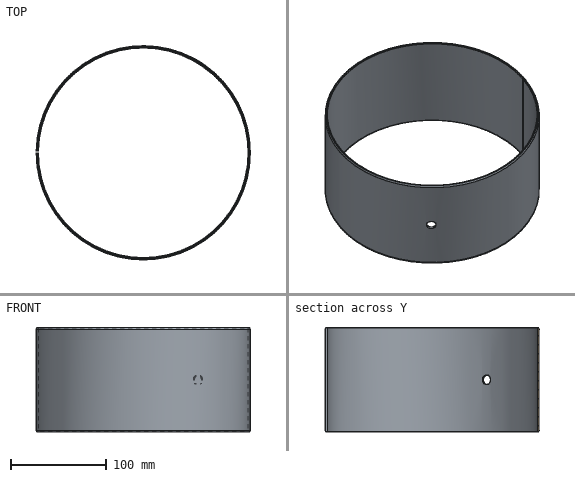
import cadquery as cq
import math

outer_diameter = 225.0
height = 110.0
wall = 2.5
outer_radius = outer_diameter / 2

outer_bevel_height = 2.0
inner_bevel_height = 0.7
bevel_depth = 1.0

split_width = 1.8

hole_diameter = 10.0
hole_angle = 58.9


def make_ring():
    """Revolve the beveled wall section about the Z axis."""
    inner_radius = outer_radius - wall
    rim_outer_radius = outer_radius - bevel_depth
    rim_inner_radius = inner_radius + bevel_depth
    section = (
        cq.Workplane("XZ")
        .moveTo(rim_inner_radius, 0)
        .lineTo(rim_outer_radius, 0)
        .lineTo(outer_radius, outer_bevel_height)
        .lineTo(outer_radius, height - outer_bevel_height)
        .lineTo(rim_outer_radius, height)
        .lineTo(rim_inner_radius, height)
        .lineTo(inner_radius, height - inner_bevel_height)
        .lineTo(inner_radius, inner_bevel_height)
        .close()
    )
    return section.revolve(360, (0, 0, 0), (0, 1, 0))


def make_split():
    """Full-height cutter across the wall on the -X side."""
    cutter_length = 4 * wall
    return (
        cq.Workplane("XY")
        .center(-outer_radius, split_width / 2)
        .rect(cutter_length, split_width)
        .extrude(height)
    )


def make_hole():
    """Cylinder running outward from the ring axis through one side of the wall."""
    angle = math.radians(hole_angle)
    outward = cq.Vector(math.cos(angle), math.sin(angle), 0)
    start = cq.Vector(0, 0, height / 2)
    return cq.Workplane(cq.Solid.makeCylinder(hole_diameter / 2, outer_diameter, start, outward))


result = make_ring().cut(make_split()).cut(make_hole())